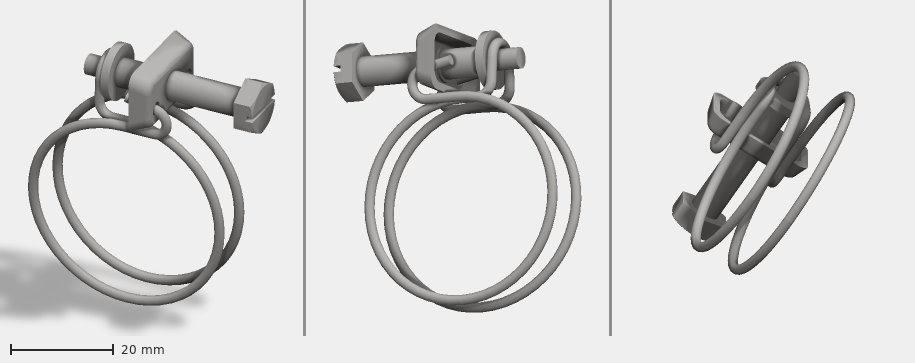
import cadquery as cq
import math


wire_d = 2.0
wire_r = wire_d / 2
ring_r = 20.0
inner_strand_y = 4.3
outer_strand_y = 6.35
bend_r = 3.0

screw_z = 27.85
shank_d = 6.0
tip_d = 4.2
flange_d = 11.55
tip_start_x = -10.6
flange_start_x = -5.2
flange_end_x = -3.5
head_start_x = 23.4
head_end_x = 27.45
head_across_flats = 10.0
head_end_d = 9.85
head_chamfer_x = 0.5
slot_width = 1.2
slot_depth = 1.55

loop_r = 3.75
loop_center_z = screw_z - 0.5
loop_x = flange_start_x - wire_r

hook_start_x = 6.65
hook_end_x = 1.1
hook_lean = math.radians(5)
hook_end_slope = math.radians(12)

plate_start_x = 3.5
plate_depth = 4.1
plate_width = 22.0
plate_height = 13.0
plate_corner_r = 2.5
side_taper = math.radians(14)
top_taper = math.radians(20)
wall = 1.55
plate_fillet = 1.2
pocket_fillet = 0.45
collar_d = 7.2
collar_height = 0.5
hook_hole_d = 3.0
hook_hole_y = 7.0
hook_hole_z = screw_z - 1.65


def x_cylinder(start_x, end_x, diameter, y=0, z=screw_z):
    """Cylinder along X between two X positions."""
    plane = cq.Plane(origin=(start_x, y, z), xDir=(0, 1, 0), normal=(1, 0, 0))
    return cq.Workplane(plane).circle(diameter / 2).extrude(end_x - start_x)


def make_head():
    """Hexagon head with corners at +Z and -Z, a chamfered end and a driver slot."""
    length = head_end_x - head_start_x
    corner_d = head_across_flats / math.cos(math.radians(30))
    plane = cq.Plane(origin=(head_start_x, 0, screw_z), xDir=(0, 0, 1), normal=(1, 0, 0))
    hexagon = cq.Workplane(plane).polygon(6, corner_d).extrude(length)
    chamfered = (
        cq.Workplane("XY", origin=(head_start_x, 0, screw_z))
        .polyline([
            (0, 0),
            (0, corner_d / 2),
            (length - head_chamfer_x, corner_d / 2),
            (length, head_end_d / 2),
            (length, 0),
        ])
        .close()
        .revolve(360, (0, 0, 0), (1, 0, 0))
    )
    slot = cq.Workplane("XY").box(2 * slot_depth, 2 * corner_d, slot_width)
    return hexagon.intersect(chamfered).cut(slot.translate((head_end_x, 0, screw_z)))


def make_screw():
    """Screw with a round flange behind its tip."""
    tip = x_cylinder(tip_start_x, flange_start_x, tip_d)
    flange = x_cylinder(flange_start_x, flange_end_x, flange_d)
    shank = x_cylinder(flange_end_x, head_start_x, shank_d)
    return tip.union(flange).union(shank).union(make_head())


def tapered_block(margin, depth):
    """Rounded rectangle, inset by a margin at the plate's open face, that tapers toward +X."""
    width = plate_width - 2 * margin
    height = plate_height - 2 * margin
    end_width = width - 2 * depth * math.tan(side_taper)
    end_height = height - 2 * depth * math.tan(top_taper)
    plane = cq.Plane(origin=(plate_start_x, 0, screw_z), xDir=(0, 1, 0), normal=(1, 0, 0))
    start = cq.Sketch().rect(width, height).vertices().fillet(plate_corner_r)
    end = cq.Sketch().rect(end_width, end_height).vertices().fillet(plate_corner_r)
    return cq.Workplane(plane).placeSketch(start, end.moved(cq.Location(cq.Vector(0, 0, depth)))).loft()


def make_plate():
    """Dished plate with a collar around the screw hole and a hole for each wire hook."""
    outside = tapered_block(0, plate_depth).faces(">X").edges().fillet(plate_fillet)
    pocket = tapered_block(wall, plate_depth - wall).faces(">X").edges().fillet(pocket_fillet)
    plate = outside.cut(pocket)
    floor_x = plate_start_x + plate_depth - wall
    plate = plate.union(x_cylinder(floor_x - collar_height, floor_x, collar_d))
    end_x = plate_start_x + plate_depth
    plate = plate.cut(x_cylinder(plate_start_x, end_x, shank_d))
    for side in (1, -1):
        plate = plate.cut(x_cylinder(plate_start_x, end_x, hook_hole_d, side * hook_hole_y, hook_hole_z))
    return plate


def leaning_point(x, rise, base_y, lean):
    """Point at a slant height above the top of a ring, in a plane that leans toward +Y."""
    return cq.Vector(x, base_y + rise * math.sin(lean), ring_r + rise * math.cos(lean))


def bend_point(center_x, angle_deg, base_y, lean):
    """Point on a bend that starts tangent to the top strand; angles are from +X."""
    angle = math.radians(angle_deg)
    return leaning_point(
        center_x + bend_r * math.cos(angle), bend_r * (1 + math.sin(angle)), base_y, lean
    )


def wire_path():
    """Wire centreline, from the hook on the +Y side, over the screw tip, to the hook on the -Y side."""
    arc = cq.Edge.makeThreePointArc
    line = cq.Edge.makeLine

    end_angle = 90 - math.degrees(hook_end_slope)
    hook_top = bend_point(hook_start_x, end_angle, outer_strand_y, hook_lean)
    hook_mid = bend_point(hook_start_x, 0, outer_strand_y, hook_lean)
    hook_bottom = bend_point(hook_start_x, -90, outer_strand_y, hook_lean)
    hook_run = hook_top.x - hook_end_x
    end_rise = bend_r * (1 + math.cos(hook_end_slope)) + hook_run * math.tan(hook_end_slope)
    hook_end = leaning_point(hook_end_x, end_rise, outer_strand_y, hook_lean)

    outer_top = cq.Vector(0, outer_strand_y, ring_r)
    inner_top = cq.Vector(0, inner_strand_y, ring_r)
    bottom = cq.Vector(0, inner_strand_y, -ring_r)
    slanted_r = (outer_top - bottom).Length / 2
    slanted_mid = cq.Vector(-slanted_r, (outer_strand_y + inner_strand_y) / 2, 0)
    upright_mid = cq.Vector(ring_r, inner_strand_y, 0)

    drop = loop_center_z - ring_r
    leg_lean = math.acos(loop_r / math.hypot(inner_strand_y, drop)) - math.atan2(drop, inner_strand_y)
    bend_x = loop_x + bend_r
    leg_start = bend_point(bend_x, 180, inner_strand_y, -leg_lean)
    leg_mid = bend_point(bend_x, 225, inner_strand_y, -leg_lean)
    leg_base = bend_point(bend_x, 270, inner_strand_y, -leg_lean)

    def arch_point(angle):
        return cq.Vector(loop_x, loop_r * math.cos(angle), loop_center_z + loop_r * math.sin(angle))

    leg_top = arch_point(leg_lean)
    arch_top = arch_point(math.pi / 2)
    far_leg_top = arch_point(math.pi - leg_lean)

    half = [
        line(hook_end, hook_top),
        arc(hook_top, hook_mid, hook_bottom),
        line(hook_bottom, outer_top),
        arc(outer_top, slanted_mid, bottom),
        arc(bottom, upright_mid, inner_top),
        line(inner_top, leg_base),
        arc(leg_base, leg_mid, leg_start),
        line(leg_start, leg_top),
    ]
    far_half = [edge.mirror("XZ") for edge in reversed(half)]
    return cq.Wire.assembleEdges([*half, arc(leg_top, arch_top, far_leg_top), *far_half])


def make_wire():
    """Round wire swept along the whole centreline."""
    path = wire_path()
    section = cq.Plane(origin=path.startPoint(), normal=path.tangentAt(0))
    return cq.Workplane(section).circle(wire_r).sweep(cq.Workplane(path))


screw = make_screw()
plate = make_plate()
wire = make_wire()

result = cq.Compound.makeCompound([screw.solids().val(), plate.solids().val(), wire.solids().val()])